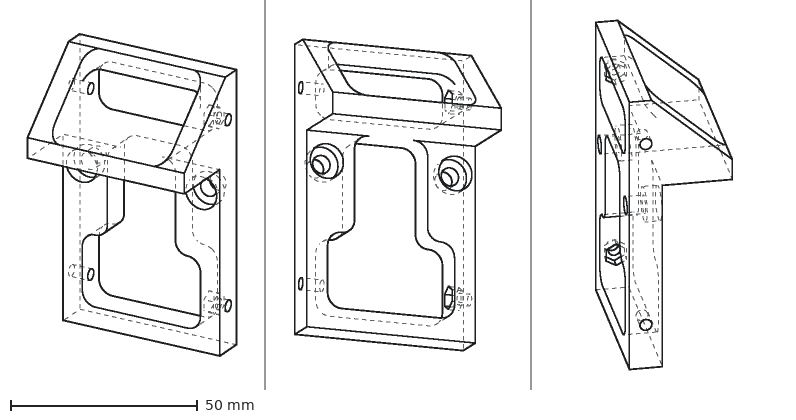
import cadquery as cq
import math

width = 48.5
depth = 28.0
height = 80.1

plate_thickness = 9.0
wall = 6.0
shelf_bottom = 54.3
shelf_top = shelf_bottom + wall
plate_front = depth - plate_thickness
back_wall_front = depth - wall

corner_radius = 4.0
opening_width = width - 2 * wall
neck_width = 21.0
shoulder_radius = 3.7
shoulder_height = 27.0
selection_margin = 0.1

mount_inset = 5.8
mount_height = 46.3
mount_diameter = 5.0
counterbore_diameter = 9.5
counterbore_depth = 4.0

cross_hole_diameter = 3.2
cross_hole_heights = (13.0, 67.1)
nut_rotation = 30
nut_across_flats = 5.5
nut_pocket_depth = 3.0
nut_across_corners = nut_across_flats / math.cos(math.pi / 6)


def centred_block(size_x, y_start, y_end, z_start, z_end):
    """Block centred on X, spanning the given Y and Z ranges."""
    return (
        cq.Workplane("XY")
        .box(size_x, y_end - y_start, z_end - z_start, centered=(True, False, False))
        .translate((0, y_start, z_start))
    )


def make_body():
    """Side profile of the plate, shelf and sloping cheeks, extruded across X."""
    profile = [
        (depth, 0),
        (depth, height),
        (back_wall_front, height),
        (0, shelf_top),
        (0, shelf_bottom),
        (plate_front, shelf_bottom),
        (plate_front, 0),
    ]
    return cq.Workplane("YZ").polyline(profile).close().extrude(width / 2, both=True)


def make_shelf_pocket():
    """Pocket between the cheeks, rounded along the floor and up the back wall."""
    pocket = centred_block(
        opening_width, -wall, back_wall_front, shelf_top, height + wall
    )
    pocket = pocket.edges("|Z and >Y").fillet(corner_radius)
    return pocket.faces("<Z").edges("|Y").fillet(corner_radius)


def make_upper_window():
    """Rounded window through the back wall, continued forward along the shelf floor."""
    window = centred_block(
        opening_width, 0, depth, shelf_top, height - wall
    )
    return window.edges("|Y").fillet(corner_radius)


def make_lower_window():
    """Wide opening with a narrower neck reaching up to the shelf underside."""
    base = centred_block(opening_width, plate_front, depth, wall, shoulder_height)
    neck = centred_block(neck_width, plate_front, depth, wall, shelf_bottom)
    base = base.edges("|Y").fillet(corner_radius)
    neck = neck.edges("|Y and >Z").fillet(corner_radius)
    window = base.union(neck)
    half_width = neck_width / 2 + selection_margin
    shoulder_corners = cq.selectors.BoxSelector(
        (-half_width, plate_front, shoulder_height - selection_margin),
        (half_width, depth, shoulder_height + selection_margin),
    )
    return window.edges("|Y").edges(shoulder_corners).fillet(shoulder_radius)


def cylinder_along_y(diameter, x, z, y_start, y_end):
    """Cylinder parallel to Y, centred at the given X and Z."""
    return cq.Workplane(
        cq.Solid.makeCylinder(
            diameter / 2, y_end - y_start, cq.Vector(x, y_start, z), cq.Vector(0, 1, 0)
        )
    )


def make_mount_hole(x):
    """Through hole counterbored from the front of the plate."""
    hole = cylinder_along_y(mount_diameter, x, mount_height, plate_front, depth)
    counterbore = cylinder_along_y(
        counterbore_diameter, x, mount_height, plate_front, plate_front + counterbore_depth
    )
    return hole.union(counterbore)


def make_cross_hole(z):
    """Hole right across the plate, with a hexagonal nut pocket in the inner face of the +X side."""
    y = depth - plate_thickness / 2
    hole = (
        cq.Workplane("YZ")
        .center(y, z)
        .circle(cross_hole_diameter / 2)
        .extrude(width / 2, both=True)
    )
    nut_pocket = (
        cq.Workplane("YZ", origin=(opening_width / 2, y, z))
        .transformed(rotate=(0, 0, nut_rotation))
        .polygon(6, nut_across_corners)
        .extrude(nut_pocket_depth)
    )
    return hole.union(nut_pocket)


result = (
    make_body()
    .cut(make_shelf_pocket())
    .cut(make_upper_window())
    .cut(make_lower_window())
)
for side in (-1, 1):
    result = result.cut(make_mount_hole(side * (width / 2 - mount_inset)))
for cross_hole_height in cross_hole_heights:
    result = result.cut(make_cross_hole(cross_hole_height))